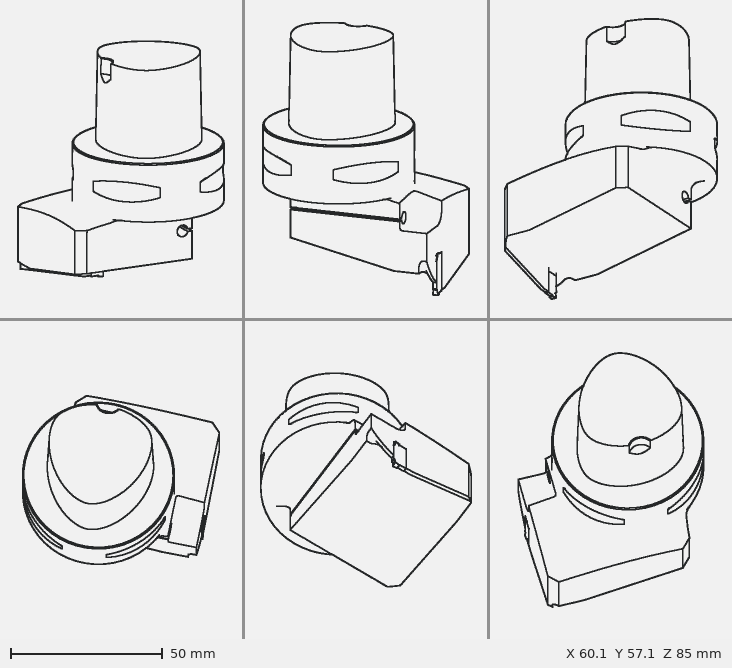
import cadquery as cq
import math


shank_height = 30.0
shank_base_radius = 17.5
shank_top_radius = 16.9
lobe_height = 1.2
lobe_pitch = math.radians(120)
lobe_half_angle = math.radians(36)
curve_points = 16

notch_radius = 4.2
notch_axis_y = -17.7
notch_depth = 5.4
notch_cone_height = 3.6
notch_edge_chamfer = 0.25

flange_radius = 25.0
flange_height = 20.0
flange_chamfer = 0.4
groove_z = -flange_height / 2
groove_floor_distance = 22.1
groove_floor_width = 3.4
groove_flank_slope = 0.58
groove_floor_fillet = 0.4

flange_bottom = -flange_height
head_left = -34.8
head_right = 13.35
head_front = -32.05
head_back = 9.5
head_bottom = -45.3
head_right_bottom = -37.7
head_slope_start_x = -23.2
head_corner_chamfer = 3.0
head_root_fillet = 3.8
shoulder_angle = math.radians(15)
shoulder_fillet = 1.4
envelope_radius = 51.0

blade_thickness = 1.3
blade_root_fillet = 1.5
blade_bottom = -54.2
blade_flat_end_y = -7.0
blade_front_y = -30.0
blade_front_bottom = -48.5
blade_back = head_left + blade_thickness
blade_edge_top = -40.8
blade_edge_bottom = -50.5
blade_edge_radius = 30.0
relief_depth = blade_thickness + blade_root_fillet

recess_back_x = -25.3
recess_side_y = -4.0
recess_floor = -31.2
recess_corner_radius = 4.2
recess_edge_fillet = 0.9
clamp_hole_y = 6.0
clamp_hole_z = -27.7
clamp_hole_radius = 1.95
slit_width = 0.85

insert_back_y = 0.6
insert_front_y = -4.25
insert_tip_width = 1.8
insert_tip_bottom = shank_height - 85
insert_tip_top = -40.8
insert_body_inset = 0.4
insert_step = 0.5
insert_rake_length = 1.8
insert_tip_length = 1.7
insert_flare_length = 1.7

clear = 4.25


def lobed_outline(mean_radius):
    """Three-lobed polygon with one lobe toward +Y."""
    def point(t):
        along = mean_radius * math.cos(t) + lobe_height * (2 * math.cos(2 * t) - math.cos(4 * t))
        across = mean_radius * math.sin(t) - lobe_height * (2 * math.sin(2 * t) + math.sin(4 * t))
        return (-across, along)
    return point


def lobed_wire(mean_radius, height):
    """Closed outline of three lobe curves and three flank curves in turn."""
    outline = lobed_outline(mean_radius)
    wire = cq.Workplane("XY", origin=(0, 0, height))
    for lobe in range(3):
        lobe_centre = lobe * lobe_pitch
        lobe_end = lobe_centre + lobe_half_angle
        flank_end = lobe_centre + lobe_pitch - lobe_half_angle
        wire = wire.parametricCurve(
            outline, N=curve_points, start=lobe_centre - lobe_half_angle, stop=lobe_end, makeWire=False
        )
        wire = wire.parametricCurve(
            outline, N=curve_points, start=lobe_end, stop=flank_end, makeWire=False
        )
    return wire.wire().val()


def make_shank():
    shank = cq.Workplane(cq.Solid.makeLoft([
        lobed_wire(shank_base_radius, 0),
        lobed_wire(shank_top_radius, shank_height),
    ]))
    notch_end = shank_height - notch_depth
    notch = (
        cq.Workplane("XZ", origin=(0, notch_axis_y, 0))
        .moveTo(0, notch_end - notch_cone_height)
        .lineTo(notch_radius, notch_end)
        .lineTo(notch_radius, shank_height - notch_edge_chamfer)
        .lineTo(notch_radius + notch_edge_chamfer, shank_height)
        .lineTo(0, shank_height)
        .close()
        .revolve(360, (0, 0), (0, 1))
    )
    return shank.cut(notch)


def make_groove(angle):
    """Straight groove with sloping flanks, cut across the flange rim at the given angle."""
    outer = flange_radius + clear
    half_floor = groove_floor_width / 2
    half_mouth = half_floor + (outer - groove_floor_distance) * groove_flank_slope
    return (
        cq.Workplane("XZ")
        .polyline([
            (groove_floor_distance, groove_z - half_floor),
            (outer, groove_z - half_mouth),
            (outer, groove_z + half_mouth),
            (groove_floor_distance, groove_z + half_floor),
        ])
        .close()
        .extrude(flange_radius, both=True)
        .edges("<X")
        .edges("|Y")
        .fillet(groove_floor_fillet)
        .rotate((0, 0, 0), (0, 0, 1), angle)
    )


def make_flange():
    flange = (
        cq.Workplane("XY")
        .workplane(offset=flange_bottom)
        .circle(flange_radius)
        .extrude(flange_height)
        .faces(">Z")
        .edges()
        .chamfer(flange_chamfer)
    )
    for angle in (45, 135, 225, 315):
        flange = flange.cut(make_groove(angle))
    return flange


def arc_inset(radius):
    """Distance from each wall of a square corner to the middle of its fillet arc."""
    return radius * (1 - math.sqrt(0.5))


def make_head_side_block():
    """Prism with an XZ outline: the blade hangs at the left, with a flared top at the right."""
    blade_inset = arc_inset(blade_root_fillet)
    root_inset = arc_inset(head_root_fillet)
    return (
        cq.Workplane("XZ", origin=(0, head_back + head_root_fillet, 0))
        .moveTo(head_left, flange_bottom)
        .lineTo(head_left, blade_bottom)
        .lineTo(blade_back, blade_bottom)
        .lineTo(blade_back, head_bottom - blade_root_fillet)
        .threePointArc(
            (blade_back + blade_inset, head_bottom - blade_inset),
            (blade_back + blade_root_fillet, head_bottom),
        )
        .lineTo(head_slope_start_x, head_bottom)
        .lineTo(head_right, head_right_bottom)
        .lineTo(head_right, flange_bottom - head_root_fillet)
        .threePointArc(
            (head_right + root_inset, flange_bottom - root_inset),
            (head_right + head_root_fillet, flange_bottom),
        )
        .close()
        .extrude(head_back + head_root_fillet - head_front)
    )


def make_head_end_block():
    """Prism with a YZ outline: a flared top at the back and the rising lower edge of the blade."""
    root_inset = arc_inset(head_root_fillet)
    return (
        cq.Workplane("YZ", origin=(head_left, 0, 0))
        .moveTo(head_front, flange_bottom)
        .lineTo(head_front, blade_front_bottom)
        .lineTo(blade_front_y, blade_front_bottom)
        .lineTo(blade_flat_end_y, blade_bottom)
        .lineTo(head_back, blade_bottom)
        .lineTo(head_back, flange_bottom - head_root_fillet)
        .threePointArc(
            (head_back + root_inset, flange_bottom - root_inset),
            (head_back + head_root_fillet, flange_bottom),
        )
        .close()
        .extrude(head_right + head_root_fillet - head_left)
    )


def make_head_plan():
    """Vertical prism that bevels the two front corners."""
    width = head_right + head_root_fillet - head_left
    depth = head_back + head_root_fillet - head_front
    return (
        cq.Workplane("XY", origin=(head_left, head_front, blade_bottom))
        .rect(width, depth, centered=False)
        .extrude(flange_bottom - blade_bottom)
        .cut(make_front_corner(head_left, 1))
        .cut(make_front_corner(head_right, -1))
    )


def make_front_corner(corner_x, inward):
    """Prism outside the bevelled front corner; inward is the X direction toward the head."""
    outside = corner_x - inward * clear
    return (
        cq.Workplane("XY", origin=(0, 0, blade_bottom))
        .polyline([
            (outside, head_front - clear),
            (corner_x + inward * (head_corner_chamfer + clear), head_front - clear),
            (outside, head_front + head_corner_chamfer + clear),
        ])
        .close()
        .extrude(flange_bottom - blade_bottom)
    )


def make_shoulder_envelope():
    """Solid of revolution: a small fillet under the flange runs out into a 15 degree cone."""
    turn = math.pi / 2 - shoulder_angle
    arc_centre_r = flange_radius + shoulder_fillet

    def arc_point(swept):
        return (
            arc_centre_r - shoulder_fillet * math.cos(swept),
            flange_bottom - shoulder_fillet * math.sin(swept),
        )

    cone_r, cone_z = arc_point(turn)
    rim_z = cone_z - (envelope_radius - cone_r) * math.tan(shoulder_angle)
    return (
        cq.Workplane("XZ")
        .moveTo(0, flange_bottom)
        .lineTo(flange_radius, flange_bottom)
        .threePointArc(arc_point(turn / 2), (cone_r, cone_z))
        .lineTo(envelope_radius, rim_z)
        .lineTo(envelope_radius, blade_bottom)
        .lineTo(0, blade_bottom)
        .close()
        .revolve(360, (0, 0), (0, 1))
    )


def make_blade_relief():
    """Space outside the curved rear edge of the blade, rounded where it runs into the head."""
    return (
        cq.Workplane("YZ", origin=(head_left - clear, 0, 0))
        .moveTo(head_back, blade_edge_top)
        .radiusArc((insert_back_y, blade_edge_bottom), blade_edge_radius)
        .lineTo(insert_back_y, blade_bottom - clear)
        .lineTo(head_back + clear, blade_bottom - clear)
        .lineTo(head_back + clear, blade_edge_top)
        .close()
        .extrude(clear + relief_depth)
        .faces(">X")
        .edges("%CIRCLE")
        .fillet(blade_root_fillet)
    )


def make_clamp_recess():
    height = flange_bottom - recess_floor + clear
    width = head_back + clear - recess_side_y
    return (
        cq.Workplane("XY", origin=(head_left - clear, recess_side_y, recess_floor))
        .box(recess_back_x - head_left + clear, width, height, centered=False)
        .edges("|X and <Y and <Z")
        .fillet(recess_corner_radius)
        .faces(">X")
        .edges()
        .fillet(recess_edge_fillet)
    )


def make_clamp_hole():
    """Hole along X, with a slit that opens it to the back face."""
    length = head_right - head_left
    hole = (
        cq.Workplane("YZ", origin=(head_left, clamp_hole_y, clamp_hole_z))
        .circle(clamp_hole_radius)
        .extrude(length)
    )
    slit = (
        cq.Workplane("XY", origin=(head_left, clamp_hole_y, clamp_hole_z - slit_width / 2))
        .box(length, head_back - clamp_hole_y, slit_width, centered=False)
    )
    return hole.union(slit)


def make_insert_pocket():
    return (
        cq.Workplane("XY", origin=(head_left, insert_front_y, blade_bottom))
        .box(
            blade_thickness,
            insert_back_y - insert_front_y,
            insert_tip_top - insert_body_inset - blade_bottom,
            centered=False,
        )
    )


def make_holder(insert):
    head = (
        make_head_side_block()
        .intersect(make_head_end_block())
        .intersect(make_head_plan())
        .intersect(make_shoulder_envelope())
        .cut(make_blade_relief())
        .cut(make_clamp_recess())
        .cut(make_clamp_hole())
    )
    holder = make_flange().union(make_shank()).union(head)
    return holder.cut(make_insert_pocket()).cut(insert)


def make_insert():
    """Double-ended insert: a flat bar whose two rear corners flare sideways into cutting tips."""
    middle_x = head_left + blade_thickness / 2
    middle_z = (insert_tip_top + insert_tip_bottom) / 2
    half_height = (insert_tip_top - insert_tip_bottom) / 2
    half_body = half_height - insert_body_inset
    rake_z = half_height - insert_rake_length
    rake_y = insert_back_y - insert_step
    tip_end_y = rake_y - insert_tip_length

    lower_half = [
        (insert_front_y, -half_body),
        (tip_end_y, -half_body),
        (tip_end_y, -half_height),
        (rake_y, -half_height),
        (rake_y, -rake_z),
        (insert_back_y, -rake_z + insert_step),
    ]
    upper_half = [(y, -z) for y, z in reversed(lower_half)]

    def make_bar(thickness):
        return (
            cq.Workplane("YZ", origin=(middle_x, 0, middle_z))
            .polyline(lower_half + upper_half)
            .close()
            .extrude(thickness / 2, both=True)
        )

    corner = cq.Plane(origin=(middle_x, rake_y, insert_tip_bottom), xDir=(1, 0, 0), normal=(0, 1, 1))
    wedge = (
        cq.Workplane(corner)
        .polyline([
            (-blade_thickness / 2, -insert_flare_length),
            (blade_thickness / 2, -insert_flare_length),
            (insert_tip_width / 2, 0),
            (-insert_tip_width / 2, 0),
        ])
        .close()
        .extrude(half_height, both=True)
    )
    lower_tip = make_bar(insert_tip_width).intersect(wedge)
    upper_tip = lower_tip.mirror("XY", (0, 0, middle_z))
    return make_bar(blade_thickness).union(lower_tip).union(upper_tip)


insert = make_insert()
holder = make_holder(insert)
result = cq.Compound.makeCompound([holder.solids().val(), insert.solids().val()])